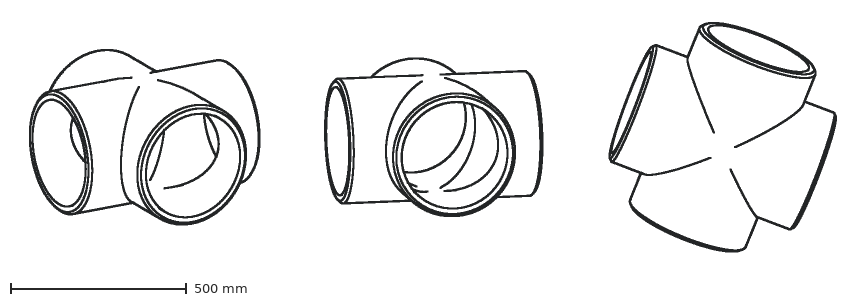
import cadquery as cq

outer_diameter = 355.6
wall_thickness = 23.83
end_to_end = 558.8
bevel_size = 8.0

bore_diameter = outer_diameter - 2 * wall_thickness


def cylinder_along(plane, diameter):
    """Cylinder centred on the origin, running along the normal of the named plane."""
    return cq.Workplane(plane).circle(diameter / 2).extrude(end_to_end / 2, both=True)


def bevelled_pipe_body(plane):
    """Solid outer body of one run, with the outer rim of both ends bevelled."""
    body = cylinder_along(plane, outer_diameter)
    return body.faces("|X or |Y").edges().chamfer(bevel_size)


run_planes = ("YZ", "XZ")

along_x, along_y = [bevelled_pipe_body(plane) for plane in run_planes]
result = along_x.union(along_y)

for plane in run_planes:
    result = result.cut(cylinder_along(plane, bore_diameter))